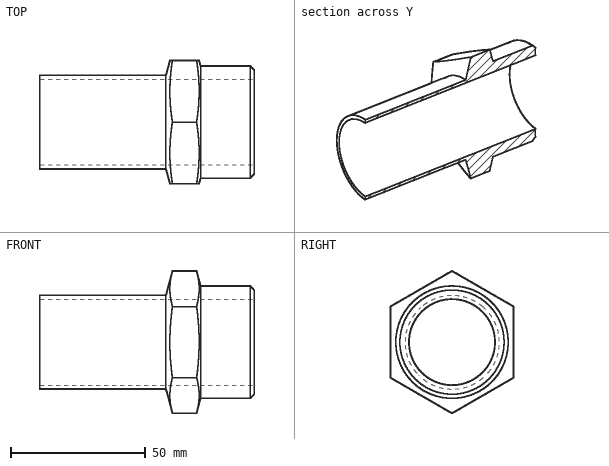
import cadquery as cq
import math

total_length = 80.0
nut_start = 47.0
nut_end = 60.0

bore_diameter = 32.0
tube_diameter = 35.0
collar_diameter = 41.9
across_flats = 46.0
across_corners = across_flats / math.cos(math.radians(30))

collar_chamfer = 1.5
nut_bevel_angle = 15.0


def cylinder(diameter, start, end):
    """Cylinder along X between two stations."""
    return cq.Workplane("YZ").workplane(offset=start).circle(diameter / 2).extrude(end - start)


def bevel_depth(inner_diameter):
    """Axial length of the nut bevel from the hex corners in to a diameter."""
    radial_width = (across_corners - inner_diameter) / 2
    return radial_width * math.tan(math.radians(nut_bevel_angle))


def hex_nut():
    """Hexagon with corners on +/-Z, bevelled conically down to the tube and collar."""
    prism = (
        cq.Workplane("YZ")
        .workplane(offset=nut_start)
        .transformed(rotate=(0, 0, 90))
        .polygon(6, across_corners)
        .extrude(nut_end - nut_start)
    )
    bevel_envelope = (
        cq.Workplane("XZ")
        .moveTo(nut_start, 0)
        .lineTo(nut_start, tube_diameter / 2)
        .lineTo(nut_start + bevel_depth(tube_diameter), across_corners / 2)
        .lineTo(nut_end - bevel_depth(collar_diameter), across_corners / 2)
        .lineTo(nut_end, collar_diameter / 2)
        .lineTo(nut_end, 0)
        .close()
        .revolve(360, (0, 0, 0), (1, 0, 0))
    )
    return prism.intersect(bevel_envelope)


nut_middle = (nut_start + nut_end) / 2
tube = cylinder(tube_diameter, 0, nut_middle)
collar = cylinder(collar_diameter, nut_middle, total_length).faces(">X").chamfer(collar_chamfer)
bore = cylinder(bore_diameter, 0, total_length)

result = tube.union(hex_nut()).union(collar).cut(bore)